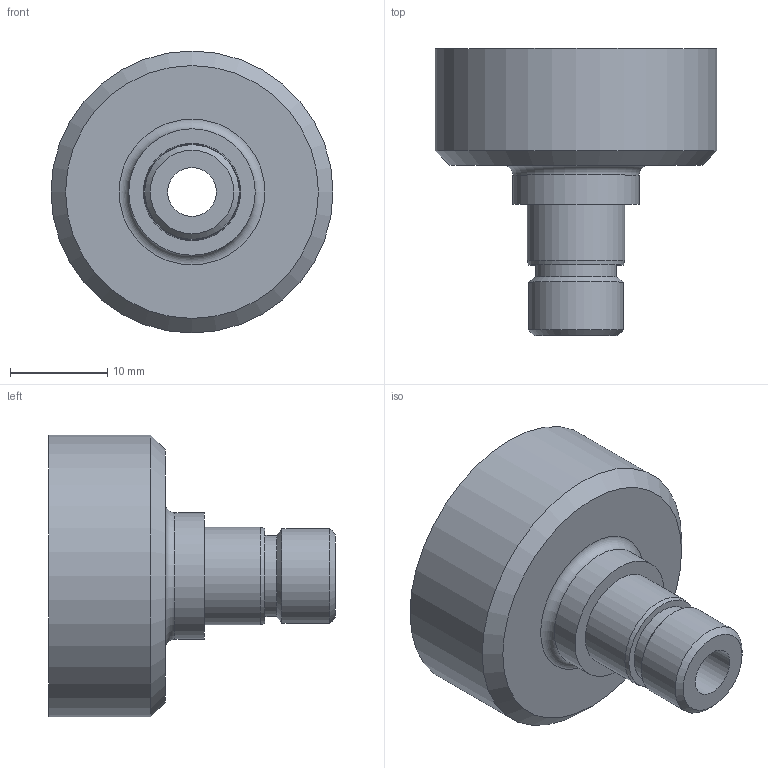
import cadquery as cq
import math


head_diameter = 29.0
head_length = 12.0
head_chamfer = 1.5

collar_diameter = 13.0
collar_length = 4.0
collar_fillet = 1.0

shank_diameter = 10.0
shank_length = 6.25
taper_length = 0.5
taper_angle = 10.0

groove_diameter = 8.33
groove_floor_length = 1.2
groove_wall_length = 0.55

tip_diameter = 9.73
tip_face_diameter = 8.57

bore_diameter = 5.0

overall_length = 29.5

head_radius = head_diameter / 2
collar_radius = collar_diameter / 2
shank_radius = shank_diameter / 2
taper_end_radius = shank_radius - taper_length * math.tan(math.radians(taper_angle))
groove_radius = groove_diameter / 2
tip_radius = tip_diameter / 2
tip_face_radius = tip_face_diameter / 2
tip_chamfer = tip_radius - tip_face_radius

head_back = head_length
collar_end = -collar_length
shank_end = collar_end - shank_length
groove_floor_end = shank_end - groove_floor_length
groove_end = groove_floor_end - groove_wall_length
tip_end = head_back - overall_length

fillet_center_radius = collar_radius + collar_fillet
fillet_center_y = -collar_fillet
fillet_diagonal = collar_fillet * math.sqrt(0.5)
fillet_middle = (fillet_center_radius - fillet_diagonal, fillet_center_y + fillet_diagonal)


def turned_body():
    """Solid of revolution from a half profile of (radius, Y) points."""
    profile = (
        cq.Workplane("XY")
        .moveTo(0, head_back)
        .lineTo(head_radius, head_back)
        .lineTo(head_radius, head_chamfer)
        .lineTo(head_radius - head_chamfer, 0)
        .lineTo(fillet_center_radius, 0)
        .threePointArc(fillet_middle, (collar_radius, fillet_center_y))
        .lineTo(collar_radius, collar_end)
        .lineTo(shank_radius, collar_end)
        .lineTo(shank_radius, shank_end + taper_length)
        .lineTo(taper_end_radius, shank_end)
        .lineTo(groove_radius, shank_end)
        .lineTo(groove_radius, groove_floor_end)
        .lineTo(tip_radius, groove_end)
        .lineTo(tip_radius, tip_end + tip_chamfer)
        .lineTo(tip_face_radius, tip_end)
        .lineTo(0, tip_end)
        .close()
    )
    return profile.revolve(360, (0, 0, 0), (0, 1, 0))


def bore():
    """Cylinder that runs from the tip face to the back of the head."""
    return (
        cq.Workplane("XZ", origin=(0, head_back, 0))
        .circle(bore_diameter / 2)
        .extrude(overall_length)
    )


result = turned_body().cut(bore())